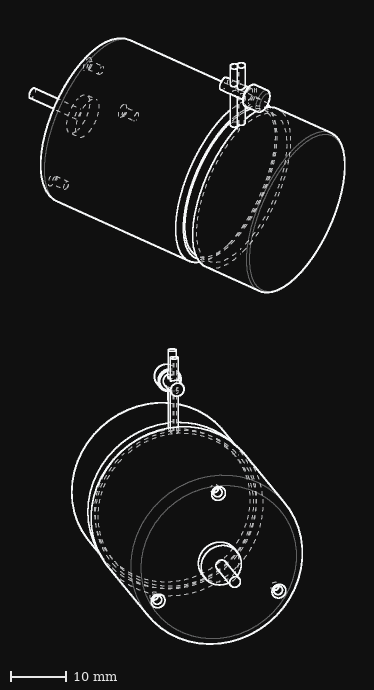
import cadquery as cq
import math


body_radius = 16.0
front_fillet = 1.5
body_length = 31.2
body_rear_chamfer = 1.0

neck_radius = 14.5
neck_end = 33.7
cap_radius = 15.7
cap_fillet = 0.4
motor_length = 45.8

shaft_radius = 1.0
shaft_tip = -12.0
boss_radius = 3.75
boss_height = 2.0

hole_count = 3
hole_circle_radius = 13.0
hole_radius = 0.8
countersink_radius = 1.3
hole_depth = 3.0
drill_point_angle = 118.0

wire_radius = 0.75
wire_spacing = 1.48
front_wire_x = 32.15
front_wire_top = 28.5
rear_wire_top = 29.5

clamp_z = 23.2
pin_radius = 1.25
pin_start = 29.8
knob_radius = 2.15
knob_start = 35.25
knob_end = 38.7
knob_front_chamfer = 0.25
knob_rear_fillet = 0.5


def x_cylinder(radius, start, end, z=0.0):
    """Cylinder parallel to X between two X positions."""
    return cq.Workplane("YZ", origin=(start, 0, z)).circle(radius).extrude(end - start)


def make_motor():
    body = x_cylinder(body_radius, 0, body_length)
    body = body.faces("<X").edges().fillet(front_fillet)
    body = body.faces(">X").edges().chamfer(body_rear_chamfer)
    neck = x_cylinder(neck_radius, body_length, neck_end)
    cap = x_cylinder(cap_radius, neck_end, motor_length)
    cap = cap.faces(">X").edges().fillet(cap_fillet)
    boss = x_cylinder(boss_radius, -boss_height, 0)
    shaft = x_cylinder(shaft_radius, shaft_tip, -boss_height)
    return body.union(neck).union(cap).union(boss).union(shaft)


def make_mounting_hole():
    """Cutter for one hole, revolved about X at the top of the hole circle."""
    countersink_depth = countersink_radius - hole_radius
    point_length = hole_radius / math.tan(math.radians(drill_point_angle / 2))
    return (
        cq.Workplane("XZ")
        .polyline([
            (0, 0),
            (0, countersink_radius),
            (countersink_depth, hole_radius),
            (hole_depth, hole_radius),
            (hole_depth + point_length, 0),
        ])
        .close()
        .revolve(360, (0, 0), (1, 0))
        .translate((0, 0, hole_circle_radius))
    )


def cut_mounting_holes(motor):
    cutter = make_mounting_hole()
    for index in range(hole_count):
        angle = index * 360 / hole_count
        motor = motor.cut(cutter.rotate((0, 0, 0), (1, 0, 0), angle))
    return motor


def make_wire(x, top):
    """Round wire running from the motor axis up to its free end."""
    return cq.Workplane("XY", origin=(x, 0, 0)).circle(wire_radius).extrude(top)


def make_clamp():
    pin = x_cylinder(pin_radius, pin_start, knob_start, clamp_z)
    knob = x_cylinder(knob_radius, knob_start, knob_end, clamp_z)
    knob = knob.faces("<X").edges().chamfer(knob_front_chamfer)
    knob = knob.faces(">X").edges().fillet(knob_rear_fillet)
    return pin.union(knob)


front_wire = make_wire(front_wire_x, front_wire_top)
rear_wire = make_wire(front_wire_x + wire_spacing, rear_wire_top)

result = cut_mounting_holes(make_motor())
result = result.union(front_wire).union(rear_wire).union(make_clamp())